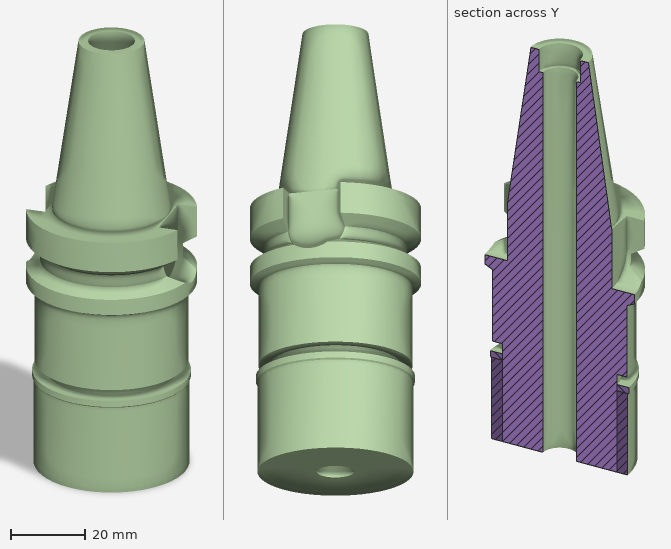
import cadquery as cq

TOTAL_HEIGHT = 123.4
GAUGE_Z = 74.9
FLANGE_TOP_Z = 74.3
GROOVE_UPPER_EDGE_Z = 65.6
GROOVE_FLOOR_TOP_Z = 63.0
GROOVE_FLOOR_BOTTOM_Z = 59.6
GROOVE_LOWER_EDGE_Z = 57.5
FLANGE_CHAMFER_Z = 53.1
FLANGE_BOTTOM_Z = 52.0
SHOULDER_Z = 30.0
RING_TOP_Z = 27.0
RING_BOTTOM_Z = 24.9

TAPER_TOP_RADIUS = 8.9
TAPER_BASE_RADIUS = 15.9
FLANGE_DIAMETER = 46.0
FLANGE_RADIUS = FLANGE_DIAMETER / 2
GROOVE_RADIUS = 19.3
BARREL_RADIUS = 20.7
NECK_RADIUS = 17.6
RING_RADIUS = 21.3
SLEEVE_RADIUS = 21.0
RING_CHAMFER = RING_RADIUS - SLEEVE_RADIUS

BORE_RADIUS = 5.0
COUNTERBORE_RADIUS = 6.3
COUNTERBORE_DEPTH = 6.8

SLOT_WIDTH = 16.2
SLOT_BOTTOM_Z = 56.0
SLOT_FLOOR_X = 16.2


def make_holder_blank():
    """Revolved taper, grooved flange, barrel and neck."""
    profile = [
        (0, 0),
        (NECK_RADIUS, 0),
        (NECK_RADIUS, SHOULDER_Z),
        (BARREL_RADIUS, SHOULDER_Z),
        (BARREL_RADIUS, FLANGE_BOTTOM_Z),
        (FLANGE_RADIUS, FLANGE_CHAMFER_Z),
        (FLANGE_RADIUS, GROOVE_LOWER_EDGE_Z),
        (GROOVE_RADIUS, GROOVE_FLOOR_BOTTOM_Z),
        (GROOVE_RADIUS, GROOVE_FLOOR_TOP_Z),
        (FLANGE_RADIUS, GROOVE_UPPER_EDGE_Z),
        (FLANGE_RADIUS, FLANGE_TOP_Z),
        (TAPER_BASE_RADIUS, FLANGE_TOP_Z),
        (TAPER_BASE_RADIUS, GAUGE_Z),
        (TAPER_TOP_RADIUS, TOTAL_HEIGHT),
        (0, TOTAL_HEIGHT),
    ]
    return cq.Workplane("XZ").polyline(profile).close().revolve(360, (0, 0), (0, 1))


def make_bore():
    """Through bore with a wider counterbore at the small end of the taper."""
    bore = cq.Workplane("XY").circle(BORE_RADIUS).extrude(TOTAL_HEIGHT)
    counterbore = (
        cq.Workplane("XY", origin=(0, 0, TOTAL_HEIGHT))
        .circle(COUNTERBORE_RADIUS)
        .extrude(-COUNTERBORE_DEPTH)
    )
    return bore.union(counterbore)


def make_drive_slot(side):
    """Round-bottomed slot cutter on the +X (side = 1) or -X (side = -1) side."""
    half_width = SLOT_WIDTH / 2
    arc_center_z = SLOT_BOTTOM_Z + half_width
    return (
        cq.Workplane("YZ", origin=(side * SLOT_FLOOR_X, 0, 0))
        .moveTo(-half_width, FLANGE_TOP_Z)
        .lineTo(-half_width, arc_center_z)
        .threePointArc((0, SLOT_BOTTOM_Z), (half_width, arc_center_z))
        .lineTo(half_width, FLANGE_TOP_Z)
        .close()
        .extrude(side * FLANGE_RADIUS)
    )


def make_holder():
    holder = make_holder_blank().cut(make_bore())
    for side in (-1, 1):
        holder = holder.cut(make_drive_slot(side))
    return holder


def make_ring():
    """Collar around the neck, chamfered down to the sleeve."""
    return (
        cq.Workplane("XY", origin=(0, 0, RING_BOTTOM_Z))
        .circle(RING_RADIUS)
        .extrude(RING_TOP_Z - RING_BOTTOM_Z)
        .faces("<Z")
        .chamfer(RING_CHAMFER)
        .cut(cq.Workplane("XY").circle(NECK_RADIUS).extrude(RING_TOP_Z))
    )


def make_sleeve():
    """Clamping sleeve around the lower end of the neck."""
    return cq.Workplane("XY").circle(SLEEVE_RADIUS).circle(NECK_RADIUS).extrude(RING_BOTTOM_Z)


holder = make_holder()
ring = make_ring()
sleeve = make_sleeve()

result = cq.Compound.makeCompound([holder.val(), ring.val(), sleeve.val()])